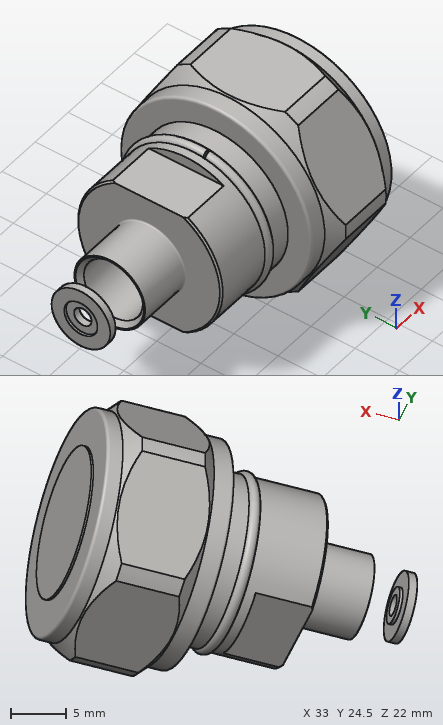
import cadquery as cq
import math

WASHER_FRONT = 0.0
TUBE_FRONT = 4.38
BODY_FRONT = 10.35
FLAT_END = 15.95
RING_CENTER = 17.5
NUT_FRONT = 20.43
HEX_START = 22.4
HEX_END = 31.25
NUT_BACK = 32.75
RIM_BACK = 32.95

WASHER_RADIUS = 3.33
WASHER_THICKNESS = 0.82
BOSS_RADIUS = 1.75
BOSS_HEIGHT = 0.3
RECESS_RADIUS = 1.88
RECESS_DEPTH = 0.3
WASHER_HOLE_RADIUS = 1.0

TUBE_RADIUS = 4.02
BORE_RADIUS = WASHER_RADIUS
MOUTH_CHAMFER = 0.53
BORE_DEPTH = BODY_FRONT - TUBE_FRONT
TUBE_ROOT_FILLET = 0.15

BODY_RADIUS = 8.2
BODY_CHAMFER = 0.2
FLAT_HALF_HEIGHT = 7.02

COLLAR_RADIUS = 10.87
COLLAR_FILLET = 0.3
HEX_ACROSS_FLATS = 22.0
HEX_ACROSS_CORNERS = 24.48
HEX_CORNER_RADIUS = HEX_ACROSS_CORNERS / 2
HEX_SHARP_DIAMETER = HEX_ACROSS_FLATS / math.cos(math.pi / 6)
HEX_CHAMFER = HEX_CORNER_RADIUS - COLLAR_RADIUS
RIM_RADIUS = 7.2

WIRE_RADIUS = 0.55
RING_OUTER_RADIUS = 8.6
RING_CENTER_RADIUS = RING_OUTER_RADIUS - WIRE_RADIUS
RING_INNER_RADIUS = RING_CENTER_RADIUS - WIRE_RADIUS
SPLIT_CENTER_Y = -1.3
SPLIT_WIDTH = 0.2


def cylinder(start, end, radius):
    """Round bar along X from start to end."""
    return cq.Workplane("YZ", origin=(start, 0, 0)).circle(radius).extrude(end - start)


def make_washer():
    """Flat disc with a recess in front, a boss behind and a through hole."""
    disc_back = WASHER_FRONT + WASHER_THICKNESS
    boss_back = disc_back + BOSS_HEIGHT
    disc = cylinder(WASHER_FRONT, disc_back, WASHER_RADIUS)
    boss = cylinder(disc_back, boss_back, BOSS_RADIUS)
    recess = cylinder(WASHER_FRONT, WASHER_FRONT + RECESS_DEPTH, RECESS_RADIUS)
    hole = cylinder(WASHER_FRONT, boss_back, WASHER_HOLE_RADIUS)
    return disc.union(boss).cut(recess).cut(hole)


def make_barrel():
    """Stepped tube and barrel, with the root fillet and the front chamfer."""
    barrel = cylinder(BODY_FRONT, NUT_FRONT, BODY_RADIUS).faces("<X").chamfer(BODY_CHAMFER)
    barrel = barrel.union(cylinder(TUBE_FRONT, BODY_FRONT, TUBE_RADIUS))
    shoulder = barrel.faces("<X[1]")
    barrel = shoulder.edges(cq.selectors.RadiusNthSelector(0)).fillet(TUBE_ROOT_FILLET)
    return barrel.cut(wrench_flat_cutter())


def wrench_flat_cutter():
    """Everything above and below the two wrench flats."""
    length = FLAT_END - BODY_FRONT
    center_x = (BODY_FRONT + FLAT_END) / 2
    slab = cq.Workplane("XY").box(length, 2 * BODY_RADIUS, 2 * BODY_RADIUS)
    kept = cq.Workplane("XY").box(length, 2 * BODY_RADIUS, 2 * FLAT_HALF_HEIGHT)
    return slab.cut(kept).translate((center_x, 0, 0))


def tube_bore():
    """Blind bore of the tube with its conical lead-in."""
    bore_end = TUBE_FRONT + BORE_DEPTH
    profile = [
        (TUBE_FRONT, 0),
        (TUBE_FRONT, BORE_RADIUS + MOUTH_CHAMFER),
        (TUBE_FRONT + MOUTH_CHAMFER, BORE_RADIUS),
        (bore_end, BORE_RADIUS),
        (bore_end, 0),
    ]
    return cq.Workplane("XY").polyline(profile).close().revolve(360, (0, 0, 0), (1, 0, 0))


def ring_groove():
    """Rectangular groove around the barrel."""
    start = RING_CENTER - WIRE_RADIUS
    end = RING_CENTER + WIRE_RADIUS
    return cylinder(start, end, RING_OUTER_RADIUS).cut(cylinder(start, end, RING_INNER_RADIUS))


def make_hexagon():
    """Hexagon with flats at top and bottom, turned to a chamfered bar at its corners."""
    turned_bar = cylinder(HEX_START, HEX_END, HEX_CORNER_RADIUS).faces("<X or >X").chamfer(HEX_CHAMFER)
    hexagon = (
        cq.Workplane("YZ", origin=(HEX_START, 0, 0))
        .polygon(6, HEX_SHARP_DIAMETER)
        .extrude(HEX_END - HEX_START)
    )
    return hexagon.intersect(turned_bar)


def make_connector():
    """Tube, barrel and nut as one solid."""
    collar = cylinder(NUT_FRONT, NUT_BACK, COLLAR_RADIUS).faces("<X or >X").edges().fillet(COLLAR_FILLET)
    rim = cylinder(NUT_BACK, RIM_BACK, RIM_RADIUS)
    nut = collar.union(make_hexagon()).union(rim)
    return make_barrel().union(nut).cut(tube_bore()).cut(ring_groove())


def make_split_ring():
    """Round-wire ring with a narrow gap beside its top."""
    ring = (
        cq.Workplane("XY")
        .center(RING_CENTER, RING_CENTER_RADIUS)
        .circle(WIRE_RADIUS)
        .revolve(360, (0, -RING_CENTER_RADIUS, 0), (1, -RING_CENTER_RADIUS, 0))
    )
    gap = (
        cq.Workplane("XY", origin=(RING_CENTER, SPLIT_CENTER_Y, 0))
        .rect(2 * WIRE_RADIUS, SPLIT_WIDTH)
        .extrude(RING_OUTER_RADIUS)
    )
    return ring.cut(gap)


washer = make_washer()
connector = make_connector()
split_ring = make_split_ring()

result = cq.Compound.makeCompound([washer.val(), connector.val(), split_ring.val()])